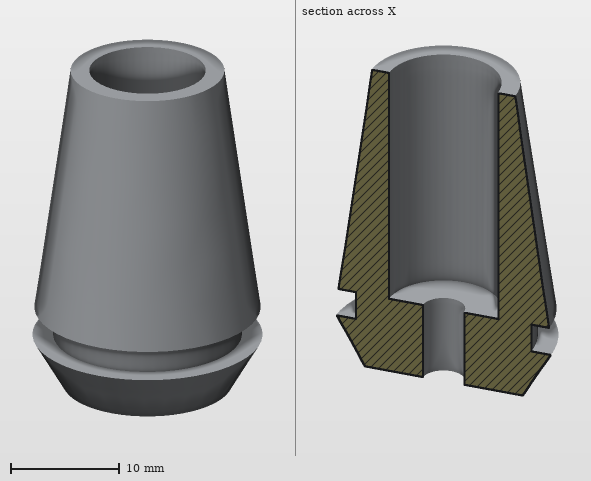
import cadquery as cq
import math

total_height = 31.5
rim_diameter = 21.3

rim_height = 4.88
nose_angle = 30.0

groove_width = 2.77
groove_diameter = 17.45

top_diameter = 14.25
taper_angle = 8.0

bore_diameter = 10.77
hole_diameter = 4.03

rim_radius = rim_diameter / 2
nose_radius = rim_radius - rim_height * math.tan(math.radians(nose_angle))
groove_radius = groove_diameter / 2
taper_base_height = rim_height + groove_width
taper_height = total_height - taper_base_height
top_radius = top_diameter / 2
taper_base_radius = top_radius + taper_height * math.tan(math.radians(taper_angle))


def collet_body():
    """Solid of revolution about Z: nose cone, neck groove and long taper."""
    half_profile = [
        (0, 0),
        (nose_radius, 0),
        (rim_radius, rim_height),
        (groove_radius, rim_height),
        (groove_radius, taper_base_height),
        (taper_base_radius, taper_base_height),
        (top_radius, total_height),
        (0, total_height),
    ]
    return cq.Workplane("XZ").polyline(half_profile).close().revolve(360, (0, 0), (0, 1))


def stepped_bore():
    """Narrow through hole with a wide bore down to the top of the groove."""
    hole = cq.Workplane("XY").circle(hole_diameter / 2).extrude(total_height)
    bore = (
        cq.Workplane("XY")
        .workplane(offset=taper_base_height)
        .circle(bore_diameter / 2)
        .extrude(taper_height)
    )
    return hole.union(bore)


result = collet_body().cut(stepped_bore())